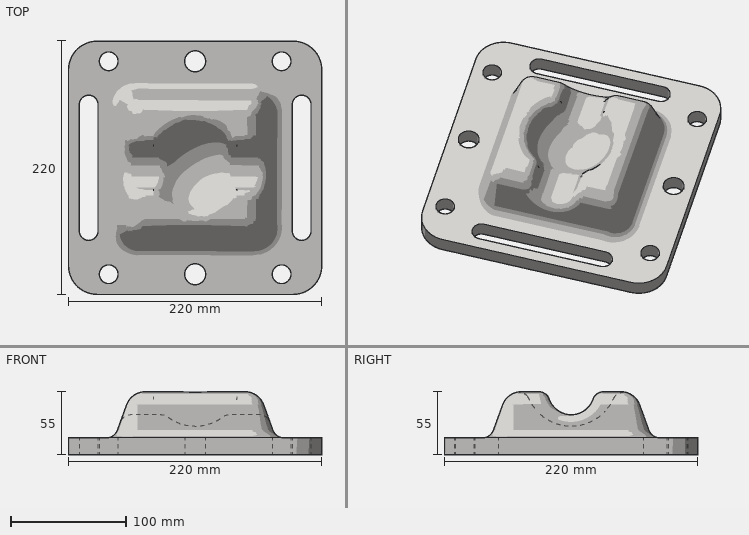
import cadquery as cq

plate_side = 220.0
plate_thickness = 15.0
plate_corner_radius = 25.0

row_offset = 92.5
corner_hole_diameter = 16.0
corner_hole_offset = 75.0
middle_hole_diameter = 18.0
slot_length = 125.8
slot_width = 16.0

total_height = 55.0
boss_base_side = 140.0
boss_corner_radius = 20.0
boss_taper = 20.0
boss_top_fillet = 17.5
boss_foot_fillet = 10.0

bowl_radius = 40.0
bowl_centre_rise = 10.0
groove_radius = 20.0
rim_fillet = 10.0

edge_margin = 0.2
rim_clearance = 2.2

boss_height = total_height - plate_thickness


def make_plate():
    plate = cq.Workplane("XY").rect(plate_side, plate_side).extrude(plate_thickness)
    return plate.edges("|Z").fillet(plate_corner_radius)


def make_boss():
    outline = cq.Sketch().rect(boss_base_side, boss_base_side).vertices().fillet(boss_corner_radius)
    boss = (
        cq.Workplane("XY", origin=(0, 0, plate_thickness))
        .placeSketch(outline)
        .extrude(boss_height, taper=boss_taper)
    )
    return boss.faces(">Z").edges().fillet(boss_top_fillet)


def make_seat():
    bowl = cq.Workplane("XY", origin=(0, 0, total_height + bowl_centre_rise)).sphere(bowl_radius)
    groove = (
        cq.Workplane("YZ", origin=(0, 0, total_height))
        .circle(groove_radius)
        .extrude(plate_side / 2, both=True)
    )
    return bowl.union(groove)


def cut_openings(body):
    corner_holes = [
        (x_side * corner_hole_offset, y_side * row_offset) for x_side in (-1, 1) for y_side in (-1, 1)
    ]
    middle_holes = [(0, -row_offset), (0, row_offset)]
    slots = [(-row_offset, 0), (row_offset, 0)]
    corner_cut = cq.Workplane("XY").pushPoints(corner_holes).circle(corner_hole_diameter / 2)
    middle_cut = cq.Workplane("XY").pushPoints(middle_holes).circle(middle_hole_diameter / 2)
    slot_cut = cq.Workplane("XY").pushPoints(slots).slot2D(slot_length, slot_width, 90)
    for opening in (corner_cut, middle_cut, slot_cut):
        body = body.cut(opening.extrude(plate_thickness))
    return body


def round_foot(body):
    half = boss_base_side / 2 + edge_margin
    foot_region = cq.selectors.BoxSelector(
        (-half, -half, plate_thickness - edge_margin),
        (half, half, plate_thickness + edge_margin),
        boundingbox=True,
    )
    return body.edges(foot_region).fillet(boss_foot_fillet)


def round_rim(body):
    bowl_floor = total_height + bowl_centre_rise - bowl_radius
    rim_edges = [
        edge
        for edge in body.edges("not |Y").vals()
        if abs(edge.Center().y) < bowl_radius and edge.BoundingBox().zmin > bowl_floor + rim_clearance
    ]
    return body.newObject(rim_edges).fillet(rim_fillet)


body = round_foot(make_plate().union(make_boss()))
body = round_rim(body.cut(make_seat()))
result = cut_openings(body)